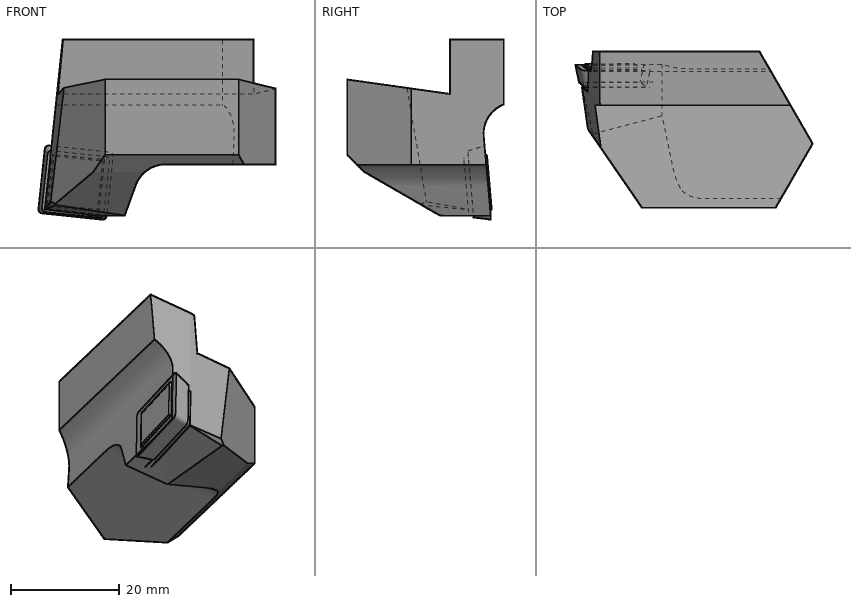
import cadquery as cq
import math


length = 43.75
depth = 28.85
tip_y = -17.0
end_angle = 30.0
bevel_start_x = 12.3
bevel_angle = 34.5

rail_width = 9.95
rail_height = 10.0
shoulder_angle = 8.0
front_bottom_z = -21.25
front_chamfer = 3.15
underside_angle = 30.0
bottom_z = -32.5

rail_left_x = 4.45
lead_angle = 6.0
foot_z = -23.05
foot_left_x = 23.35
throat_radius = 5.75
throat_angle = 20.0

flank_top_back = (3.65, -rail_width, -rail_height)
flank_top_front = (4.72, -17.8, -8.92)
flank_bottom = (2.27, -14.2, -29.87)
nose_tip = (1.25, -6.7, -31.3)
heel_left = (3.32, -15.75, -30.45)
heel_right = (15.88, -11.85, -32.4)

insert_side = 12.65
insert_thickness = 3.2
insert_nose_radius = 0.8
clearance_angle = 11.0
rake_angle = 5.0
side_rake_angle = 0.4
insert_corner = (-0.1, -2.45, -31.97)
pad_side = 9.62
pad_height = 0.3
pad_taper = 45.0

seat_relief_inset = 1.25
seat_relief_width = 0.87
seat_relief_height = 10.7

gullet_radius = 5.75
gullet_tangent_z = -17.85

margin = 21.85


def tan(angle):
    return math.tan(math.radians(angle))


def sin(angle):
    return math.sin(math.radians(angle))


def cos(angle):
    return math.cos(math.radians(angle))


def material_beyond(point_a, point_b, point_c, outward):
    """Large block on the outward side of the plane through three points."""
    a, b, c = (cq.Vector(*point) for point in (point_a, point_b, point_c))
    normal = (b - a).cross(c - a)
    if normal.dot(cq.Vector(*outward)) < 0:
        normal = -normal
    plane = cq.Plane(origin=a, normal=normal)
    return cq.Workplane(plane).rect(4 * length, 4 * length).extrude(2 * length)


def holder_section():
    """Stepped section of rail and body, running along X."""
    shoulder_drop = (depth - rail_width) * tan(shoulder_angle)
    chamfer_y = front_chamfer - depth
    chamfer_z = front_bottom_z - front_chamfer
    underside_run = (chamfer_z - bottom_z) / tan(underside_angle)
    return (
        cq.Workplane("YZ")
        .moveTo(0, 0)
        .lineTo(-rail_width, 0)
        .lineTo(-rail_width, -rail_height)
        .lineTo(-depth, -rail_height + shoulder_drop)
        .lineTo(-depth, front_bottom_z)
        .lineTo(chamfer_y, chamfer_z)
        .lineTo(chamfer_y + underside_run, bottom_z)
        .lineTo(0, bottom_z)
        .close()
        .extrude(length)
    )


def holder_plan():
    """Pointed right end and bevelled front left corner, seen along Z."""
    back_right_x = length + tip_y * tan(end_angle)
    front_right_x = length - (depth + tip_y) * tan(end_angle)
    bevel_end_y = bevel_start_x / tan(bevel_angle) - depth
    return (
        cq.Workplane("XY")
        .moveTo(0, 0)
        .lineTo(back_right_x, 0)
        .lineTo(length, tip_y)
        .lineTo(front_right_x, -depth)
        .lineTo(bevel_start_x, -depth)
        .lineTo(0, bevel_end_y)
        .close()
        .extrude(bottom_z)
    )


def holder_outline():
    """Leaning left side, foot and curved throat, running along Y."""
    throat_center_z = foot_z - throat_radius
    mid_angle = (90 + throat_angle) / 2
    throat_mid = (
        foot_left_x - throat_radius * cos(mid_angle),
        throat_center_z + throat_radius * sin(mid_angle),
    )
    throat_end_x = foot_left_x - throat_radius * cos(throat_angle)
    throat_end_z = throat_center_z + throat_radius * sin(throat_angle)
    toe_right_x = throat_end_x - (throat_end_z - bottom_z) * tan(throat_angle)
    toe_left_x = rail_left_x + bottom_z * tan(lead_angle)
    return (
        cq.Workplane("XZ")
        .moveTo(rail_left_x, 0)
        .lineTo(length, 0)
        .lineTo(length, foot_z)
        .lineTo(foot_left_x, foot_z)
        .threePointArc(throat_mid, (throat_end_x, throat_end_z))
        .lineTo(toe_right_x, bottom_z)
        .lineTo(toe_left_x, bottom_z)
        .close()
        .extrude(depth)
    )


def gullet():
    """Chip space: a sloping flat flush with the insert, ending in a round."""
    _, corner_y, corner_z = insert_corner
    tangent_y = corner_y - (gullet_tangent_z - corner_z) * tan(rake_angle)
    floor_z = bottom_z - margin
    floor_y = corner_y - (floor_z - corner_z) * tan(rake_angle)
    center_y = tangent_y + gullet_radius * cos(rake_angle)
    center_z = gullet_tangent_z + gullet_radius * sin(rake_angle)
    return (
        cq.Workplane("YZ")
        .moveTo(floor_y, floor_z)
        .lineTo(tangent_y, gullet_tangent_z)
        .threePointArc(
            (center_y - gullet_radius * cos(45), center_z + gullet_radius * sin(45)),
            (center_y, center_z + gullet_radius),
        )
        .lineTo(margin, center_z + gullet_radius)
        .lineTo(margin, floor_z)
        .close()
        .extrude(length)
    )


def seat_in_place(shape):
    """Tilt and move a shape from the frame of the insert corner into place."""
    return (
        shape.rotate((0, 0, 0), (1, 0, 0), rake_angle)
        .rotate((0, 0, 0), (0, 0, 1), side_rake_angle)
        .rotate((0, 0, 0), (0, 1, 0), lead_angle)
        .translate(insert_corner)
    )


def make_insert():
    """Square insert with a raised pad on its rake face, tapering toward its seat."""
    half_side = insert_side / 2
    plate = (
        cq.Workplane("XZ")
        .center(half_side, half_side)
        .rect(insert_side, insert_side)
        .extrude(insert_thickness, taper=clearance_angle)
        .edges("not(|X or |Z)")
        .fillet(insert_nose_radius)
    )
    pad = (
        cq.Workplane("XZ")
        .center(half_side, half_side)
        .rect(pad_side, pad_side)
        .extrude(-pad_height, taper=pad_taper)
    )
    return seat_in_place(plate.union(pad))


def seat_relief():
    """Step that sets the holder back below both cutting edges of the insert."""
    step = (
        cq.Workplane("XZ", origin=(0, -insert_thickness, 0))
        .moveTo(-margin, -margin)
        .lineTo(margin, -margin)
        .lineTo(margin, seat_relief_inset)
        .lineTo(seat_relief_inset, seat_relief_inset)
        .lineTo(seat_relief_inset, seat_relief_height)
        .lineTo(-margin, seat_relief_height)
        .close()
        .extrude(seat_relief_width)
        .edges(cq.selectors.NearestToPointSelector(
            (seat_relief_inset, -insert_thickness - seat_relief_width / 2, seat_relief_inset)
        ))
        .fillet(insert_nose_radius)
    )
    return seat_in_place(step)


def make_holder(seated_insert):
    """Holder body with its relief faces, gullet, seat relief and insert pocket."""
    body = holder_section().intersect(holder_plan()).intersect(holder_outline())
    flank = material_beyond(flank_top_back, flank_top_front, flank_bottom, (-1, 0, 0))
    heel = material_beyond(nose_tip, heel_left, heel_right, (0, 0, -1))
    nose = material_beyond(nose_tip, flank_bottom, heel_left, (-1, 0, -1))
    for relief in (flank, heel, nose):
        body = body.cut(relief)
    return body.cut(gullet()).cut(seat_relief()).cut(seated_insert)


insert = make_insert()
holder = make_holder(insert)

result = cq.Compound.makeCompound([holder.val(), insert.val()])